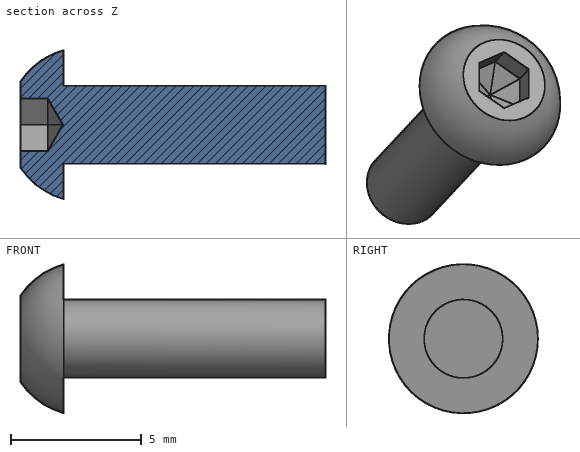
import cadquery as cq
import math

shank_diameter = 3.0
shank_length = 10.0

head_diameter = 5.7
head_height = 1.65
head_flat_diameter = 3.3

socket_sides = 6
socket_across_flats = 2.0
socket_depth = 1.04
socket_tip_angle = 120.0


def make_head():
    """Domed head: a half profile revolved about X, its arc part of a sphere centred on the axis."""
    flat_radius = head_flat_diameter / 2
    rim_radius = head_diameter / 2
    centre_x = (rim_radius**2 - flat_radius**2 - head_height**2) / (2 * head_height)
    dome_radius = math.hypot(centre_x, rim_radius)
    middle_x = -head_height / 2
    middle_radius = math.sqrt(dome_radius**2 - (middle_x - centre_x) ** 2)
    return (
        cq.Workplane("XY")
        .moveTo(-head_height, 0)
        .lineTo(-head_height, flat_radius)
        .threePointArc((middle_x, middle_radius), (0, rim_radius))
        .lineTo(0, 0)
        .close()
        .revolve(360, (0, 0, 0), (1, 0, 0))
    )


def make_shank():
    """Plain cylinder from the underside of the head."""
    return cq.Workplane("YZ").circle(shank_diameter / 2).extrude(shank_length)


def make_socket():
    """Hexagonal recess, corners on +Z and -Z, ending in a six-sided point."""
    corner_radius = socket_across_flats / 2 / math.cos(math.pi / socket_sides)
    tip_depth = socket_across_flats / 2 / math.tan(math.radians(socket_tip_angle / 2))
    floor_x = -head_height + socket_depth
    corners = []
    for index in range(socket_sides):
        angle = math.pi / 2 + index * 2 * math.pi / socket_sides
        corners.append((corner_radius * math.cos(angle), corner_radius * math.sin(angle)))

    head_face = cq.Workplane("YZ", origin=(-head_height, 0, 0))
    walls = head_face.polyline(corners).close().extrude(socket_depth)

    tip = cq.Vector(floor_x + tip_depth, 0, 0)
    rim = [cq.Vector(floor_x, y, z) for y, z in corners]
    faces = [cq.Face.makeFromWires(cq.Wire.makePolygon(rim, close=True))]
    for index in range(socket_sides):
        triangle = [rim[index - 1], rim[index], tip]
        faces.append(cq.Face.makeFromWires(cq.Wire.makePolygon(triangle, close=True)))
    point = cq.Solid.makeSolid(cq.Shell.makeShell(faces))
    return walls.union(cq.Workplane(obj=point))


result = make_head().union(make_shank()).cut(make_socket())